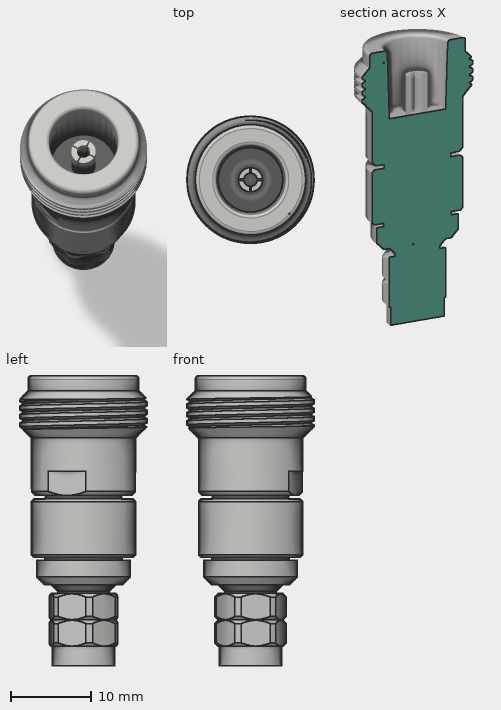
import math

import cadquery as cq

OVERALL_HEIGHT = 36.24

BARREL_RADIUS = 3.9
BARREL_HEIGHT = 2.42
NUT_HEIGHT = 3.31
NUT_COUNT = 2
NUT_ACROSS_FLATS = 8.1
NUT_CORNER_RADIUS = 4.45
NUT_CHAMFER = 0.45
NUT_TURN = 9.4
NUTS_TOP = BARREL_HEIGHT + NUT_COUNT * NUT_HEIGHT

NECK_RADIUS = 3.2
FLARE_BOTTOM = 9.3
FLARE_RADIUS = 4.03
COLLAR_BOTTOM = 10.13
COLLAR_TOP = 13.2
COLLAR_RADIUS = 5.85
COLLAR_CHAMFER = 1.0

SLEEVE_BOTTOM = 13.56
SLEEVE_TOP = 20.85
SLEEVE_CHAMFER = 0.33
LOWER_GROOVE_RADIUS = 4.87
UPPER_GROOVE_RADIUS = 4.77

BODY_RADIUS = 6.5
BODY_BOTTOM = 21.29
BODY_CHAMFER = 0.5
THREAD_RADIUS = 15.88 / 2
LOWER_CONE_BOTTOM = 28.46
LIP_RADIUS = 6.9
LIP_BOTTOM = 34.34
LIP_FILLET = 0.47

THREAD_PITCH = 25.4 / 24
THREAD_DEPTH = 0.5
THREAD_HALF_ANGLE = 30.0
THREAD_TURNS = 5
THREAD_START_Z = 28.76
THREAD_START_ANGLE = 180.0
CUTTER_OVERLAP = 0.15

FLATS_ACROSS = 12.0
FLATS_TOP = 24.33
FLATS_TURN = -20.0

BORE_MOUTH_RADIUS = 4.3
BORE_FLOOR_RADIUS = 4.02
BORE_MOUTH_FILLET = 0.45
BORE_DEPTH = 9.0
CONTACT_RADIUS = 1.52
CONTACT_HOLE_RADIUS = 0.83
CONTACT_RECESS = 3.86
CONTACT_SLOT_WIDTH = 0.2
BORE_FLOOR = OVERALL_HEIGHT - BORE_DEPTH
CONTACT_HEIGHT = BORE_DEPTH - CONTACT_RECESS


def cylinder(radius, bottom, top):
    return cq.Workplane("XY").workplane(offset=bottom).circle(radius).extrude(top - bottom)


def turned(outline):
    """Revolve (radius, z) points, closed along the axis, around Z."""
    bottom = outline[0][1]
    top = outline[-1][1]
    points = [(0, bottom)] + outline + [(0, top)]
    return cq.Workplane("XZ").polyline(points).close().revolve(360, (0, 0), (0, 1))


def hex_nut(bottom):
    """Hexagon with its corners turned round and both ends chamfered."""
    blank = cylinder(NUT_CORNER_RADIUS, bottom, bottom + NUT_HEIGHT).edges().chamfer(NUT_CHAMFER)
    corner_diameter = NUT_ACROSS_FLATS / math.cos(math.radians(30))
    hexagon = (
        cq.Workplane("XY")
        .workplane(offset=bottom)
        .polygon(6, corner_diameter)
        .extrude(NUT_HEIGHT)
        .rotate((0, 0, 0), (0, 0, 1), NUT_TURN)
    )
    return blank.intersect(hexagon)


def coupling_end():
    """Plain barrel, nuts and flared neck, up to the collar."""
    part = cylinder(BARREL_RADIUS, 0, BARREL_HEIGHT)
    for index in range(NUT_COUNT):
        part = part.union(hex_nut(BARREL_HEIGHT + index * NUT_HEIGHT))
    neck = turned([
        (NECK_RADIUS, NUTS_TOP),
        (NECK_RADIUS, FLARE_BOTTOM),
        (FLARE_RADIUS, COLLAR_BOTTOM),
    ])
    return part.union(neck)


def collar_and_sleeve():
    collar = cylinder(COLLAR_RADIUS, COLLAR_BOTTOM, COLLAR_TOP).faces("<Z").chamfer(COLLAR_CHAMFER)
    lower_groove = cylinder(LOWER_GROOVE_RADIUS, COLLAR_TOP, SLEEVE_BOTTOM)
    sleeve = cylinder(BODY_RADIUS, SLEEVE_BOTTOM, SLEEVE_TOP).faces("<Z or >Z").edges().chamfer(SLEEVE_CHAMFER)
    upper_groove = cylinder(UPPER_GROOVE_RADIUS, SLEEVE_TOP, BODY_BOTTOM)
    return collar.union(lower_groove).union(sleeve).union(upper_groove)


def thread_cutter():
    """V-shaped helical groove that runs out through the cones at both ends."""
    root_radius = THREAD_RADIUS - THREAD_DEPTH
    outer_radius = THREAD_RADIUS + CUTTER_OVERLAP
    half_width = (outer_radius - root_radius) * math.tan(math.radians(THREAD_HALF_ANGLE))
    path = cq.Wire.makeHelix(THREAD_PITCH, THREAD_TURNS * THREAD_PITCH, root_radius)
    groove = (
        cq.Workplane("XZ")
        .polyline([(root_radius, 0), (outer_radius, half_width), (outer_radius, -half_width)])
        .close()
        .sweep(cq.Workplane(path), isFrenet=True)
    )
    return groove.rotate((0, 0, 0), (0, 0, 1), THREAD_START_ANGLE).translate((0, 0, THREAD_START_Z))


def wrench_flats_cutter():
    """Material outside the two opposite flats."""
    height = FLATS_TOP - BODY_BOTTOM
    size = 2 * THREAD_RADIUS
    outside = cq.Workplane("XY").workplane(offset=BODY_BOTTOM).rect(size, size).extrude(height)
    kept = cq.Workplane("XY").workplane(offset=BODY_BOTTOM).rect(FLATS_ACROSS, size).extrude(height)
    return outside.cut(kept).rotate((0, 0, 0), (0, 0, 1), FLATS_TURN)


def bore_cutter():
    """Bore with a rounded mouth and a slight taper down to the floor."""
    mouth_bottom = OVERALL_HEIGHT - BORE_MOUTH_FILLET
    rounding = BORE_MOUTH_FILLET * (1 - math.sqrt(0.5))
    return (
        cq.Workplane("XZ")
        .moveTo(0, BORE_FLOOR)
        .lineTo(BORE_FLOOR_RADIUS, BORE_FLOOR)
        .lineTo(BORE_MOUTH_RADIUS, mouth_bottom)
        .threePointArc(
            (BORE_MOUTH_RADIUS + rounding, OVERALL_HEIGHT - rounding),
            (BORE_MOUTH_RADIUS + BORE_MOUTH_FILLET, OVERALL_HEIGHT),
        )
        .lineTo(0, OVERALL_HEIGHT)
        .close()
        .revolve(360, (0, 0), (0, 1))
    )


def centre_contact():
    """Tube standing on the bore floor, split by two crossing slots."""
    base = cq.Workplane("XY").workplane(offset=BORE_FLOOR)
    contact = base.circle(CONTACT_RADIUS).circle(CONTACT_HOLE_RADIUS).extrude(CONTACT_HEIGHT)
    slot_length = 2 * CONTACT_RADIUS
    for turn in (0, 90):
        slot = base.rect(slot_length, CONTACT_SLOT_WIDTH).extrude(CONTACT_HEIGHT)
        contact = contact.cut(slot.rotate((0, 0, 0), (0, 0, 1), turn))
    return contact


def threaded_ring():
    """Threaded cylinder trimmed by a 45 degree cone at each end."""
    margin = 2 * THREAD_PITCH
    blank = cylinder(THREAD_RADIUS, LOWER_CONE_BOTTOM - margin, LIP_BOTTOM + margin).cut(thread_cutter())
    apex_radius = (BODY_RADIUS + LIP_RADIUS + LIP_BOTTOM - LOWER_CONE_BOTTOM) / 2
    apex_z = LOWER_CONE_BOTTOM + apex_radius - BODY_RADIUS
    double_cone = turned([
        (BODY_RADIUS, LOWER_CONE_BOTTOM),
        (apex_radius, apex_z),
        (LIP_RADIUS, LIP_BOTTOM),
    ])
    return blank.intersect(double_cone)


def jack_body():
    shank = cylinder(BODY_RADIUS, BODY_BOTTOM, LOWER_CONE_BOTTOM).faces("<Z").chamfer(BODY_CHAMFER)
    shank = shank.cut(wrench_flats_cutter())
    lip = cylinder(LIP_RADIUS, LIP_BOTTOM, OVERALL_HEIGHT).faces(">Z").edges().fillet(LIP_FILLET)
    body = shank.union(threaded_ring()).union(lip)
    return body.cut(bore_cutter()).union(centre_contact())


result = coupling_end().union(collar_and_sleeve()).union(jack_body())